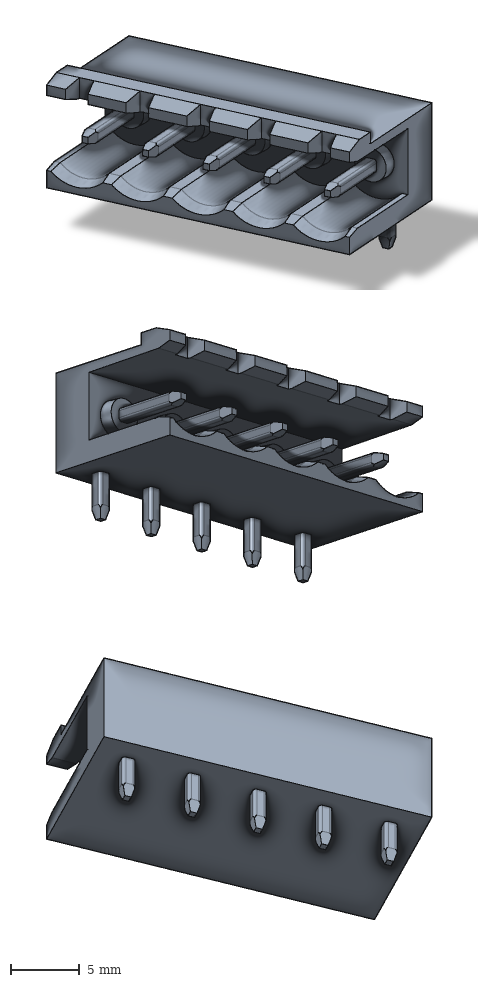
import cadquery as cq
import math


PIN_COUNT = 5
PITCH = 5.08
LENGTH = PIN_COUNT * PITCH
PIN_XS = [(i - (PIN_COUNT - 1) / 2) * PITCH for i in range(PIN_COUNT)]
PIN_HEIGHT = 3.85

DEPTH = 12.0
BACK_WALL = 3.5
WALL_FRONT = DEPTH - BACK_WALL
PLATE_TOP = 7.65
CEILING_BACK = 6.85
CEILING_FRONT = 6.93

BAR_TOP = 8.55
BAR_DEPTH = 3.02
BAR_BEVEL_DEPTH = 1.42
BAR_TOP_BEVEL = 0.48
BAR_BOTTOM_BEVEL_DEPTH = 1.17
BAR_BOTTOM_BEVEL = 0.33

NOTCH_DEPTH = BAR_BEVEL_DEPTH
NOTCH_BACK_WIDTH = 1.2
NOTCH_FRONT_WIDTH = 1.88

SHELF_TOP = 1.68
LIP_BEVEL_DEPTH = 1.15
LIP_BEVEL = 0.3
TROUGH_RADIUS = 3.0
TROUGH_MOUTH_RADIUS = TROUGH_RADIUS + LIP_BEVEL

COLLAR_LENGTH = 1.05
COLLAR_BASE_RADIUS = 1.4
COLLAR_END_RADIUS = 1.32

PIN_WIDTH = 1.05
PIN_EDGE_RADIUS = 0.25
TIP_WIDTH = 0.5
TIP_LENGTH = 1.0
MATING_TIP_Y = 1.2
SOLDER_LEG_DROP = 3.5
SOLDER_LEG_Y = DEPTH - 2.05


def housing_block():
    """Side profile extruded over the full length."""
    profile = [
        (DEPTH, 0),
        (DEPTH, PLATE_TOP),
        (BAR_DEPTH, PLATE_TOP),
        (BAR_DEPTH, BAR_TOP),
        (BAR_BEVEL_DEPTH, BAR_TOP),
        (0, BAR_TOP - BAR_TOP_BEVEL),
        (0, CEILING_FRONT + BAR_BOTTOM_BEVEL),
        (BAR_BOTTOM_BEVEL_DEPTH, CEILING_FRONT),
        (WALL_FRONT, CEILING_BACK),
        (WALL_FRONT, SHELF_TOP),
        (LIP_BEVEL_DEPTH, SHELF_TOP),
        (0, SHELF_TOP - LIP_BEVEL),
        (0, 0),
    ]
    return cq.Workplane("YZ").polyline(profile).close().extrude(LENGTH / 2, both=True)


def trough_cutter(x):
    """Lower half of a round trough that flares out at the front lip."""
    half_outline = [
        (0, 0),
        (-TROUGH_MOUTH_RADIUS, 0),
        (-TROUGH_RADIUS, LIP_BEVEL_DEPTH),
        (-TROUGH_RADIUS, WALL_FRONT),
        (0, WALL_FRONT),
    ]
    return (
        cq.Workplane("XY", origin=(x, 0, PIN_HEIGHT))
        .polyline(half_outline)
        .close()
        .revolve(180, (0, 0, 0), (0, -1, 0))
    )


def notch_cutter(x):
    """Trapezoidal notch, wider at the front, cut through the latch bar."""
    outline = [
        (-NOTCH_FRONT_WIDTH / 2, 0),
        (-NOTCH_BACK_WIDTH / 2, NOTCH_DEPTH),
        (NOTCH_BACK_WIDTH / 2, NOTCH_DEPTH),
        (NOTCH_FRONT_WIDTH / 2, 0),
    ]
    return (
        cq.Workplane("XY", origin=(x, 0, CEILING_BACK))
        .polyline(outline)
        .close()
        .extrude(BAR_TOP - CEILING_BACK)
    )


def collar(x):
    """Slightly conical collar on the cavity wall."""
    taper = math.degrees(math.atan((COLLAR_BASE_RADIUS - COLLAR_END_RADIUS) / COLLAR_LENGTH))
    return (
        cq.Workplane("XZ", origin=(x, WALL_FRONT, PIN_HEIGHT))
        .circle(COLLAR_BASE_RADIUS)
        .extrude(COLLAR_LENGTH, taper=taper)
    )


def pin_leg(length):
    """Square leg along +Z with rounded long edges and a pyramid tip."""
    bar = cq.Workplane("XY").rect(PIN_WIDTH, PIN_WIDTH).extrude(length)
    bar = bar.edges("|Z").fillet(PIN_EDGE_RADIUS)
    straight = length - TIP_LENGTH
    pointed = (
        cq.Workplane("XY")
        .rect(PIN_WIDTH, PIN_WIDTH)
        .extrude(straight)
        .faces(">Z")
        .workplane()
        .rect(PIN_WIDTH, PIN_WIDTH)
        .workplane(offset=TIP_LENGTH)
        .rect(TIP_WIDTH, TIP_WIDTH)
        .loft()
    )
    return bar.intersect(pointed)


def make_pin(x):
    """Bent pin: a mating leg toward the front and a solder leg downward."""
    bend_back = SOLDER_LEG_Y + PIN_WIDTH / 2
    bend_top = PIN_HEIGHT + PIN_WIDTH / 2
    mating_leg = (
        pin_leg(bend_back - MATING_TIP_Y)
        .rotate((0, 0, 0), (1, 0, 0), 90)
        .translate((x, bend_back, PIN_HEIGHT))
    )
    solder_leg = (
        pin_leg(bend_top + SOLDER_LEG_DROP)
        .rotate((0, 0, 0), (1, 0, 0), 180)
        .translate((x, SOLDER_LEG_Y, bend_top))
    )
    return mating_leg.union(solder_leg)


def make_housing(pins):
    """Housing with troughs, notches and collars, and a passage for each pin."""
    body = housing_block()
    for x in PIN_XS:
        body = body.cut(trough_cutter(x)).cut(notch_cutter(x)).union(collar(x))
    for pin in pins:
        body = body.cut(pin)
    return body


pins = [make_pin(x) for x in PIN_XS]
housing = make_housing(pins)

result = cq.Compound.makeCompound([housing.val(), *[pin.val() for pin in pins]])